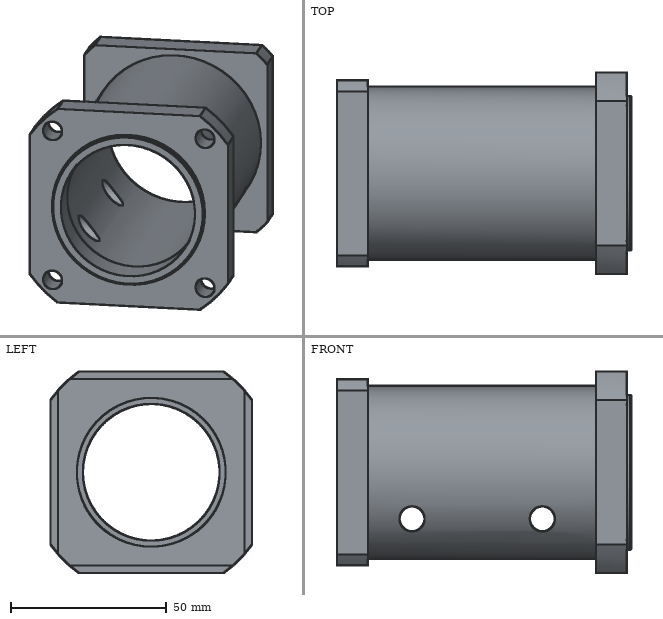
import cadquery as cq

total_length = 95.0
flange_thickness = 10.0
spigot_length = 1.5
large_flange_end = total_length - spigot_length
large_flange_start = large_flange_end - flange_thickness

small_flange_side = 60.0
large_flange_side = 65.0
flange_corner_diameter = 80.0

tube_diameter = 56.0
spigot_diameter = 50.0
spigot_chamfer = 0.5
bore_diameter = 48.0
lip_bore_diameter = 44.0
lip_start = large_flange_start

bolt_hole_diameter = 6.2
bolt_spacing = 50.0

cross_hole_diameter = 8.0
first_cross_hole_x = 24.2
cross_hole_spacing = 42.0
cross_hole_z = -15.0


def cylinder_x(diameter, start, end):
    """Cylinder on the X axis between two X positions."""
    return cq.Workplane("YZ", origin=(start, 0, 0)).circle(diameter / 2).extrude(end - start)


def flange(side, start):
    """Square plate with turned corners."""
    plate = cq.Workplane("YZ", origin=(start, 0, 0)).rect(side, side).extrude(flange_thickness)
    return plate.intersect(cylinder_x(flange_corner_diameter, start, start + flange_thickness))


def spigot():
    """Short locating ring with a chamfered rim, rooted in the large flange."""
    radius = spigot_diameter / 2
    return (
        cq.Workplane("XY")
        .moveTo(large_flange_start, 0)
        .lineTo(large_flange_start, radius)
        .lineTo(total_length - spigot_chamfer, radius)
        .lineTo(total_length, radius - spigot_chamfer)
        .lineTo(total_length, 0)
        .close()
        .revolve(360, (0, 0, 0), (1, 0, 0))
    )


def stepped_bore():
    """Main bore from the small flange, narrowing to a lip at the large flange."""
    main_bore = cylinder_x(bore_diameter, 0, lip_start)
    return main_bore.union(cylinder_x(lip_bore_diameter, 0, total_length))


def bolt_holes():
    """Four holes through the large flange."""
    return (
        cq.Workplane("YZ", origin=(large_flange_start, 0, 0))
        .rect(bolt_spacing, bolt_spacing, forConstruction=True)
        .vertices()
        .circle(bolt_hole_diameter / 2)
        .extrude(flange_thickness)
    )


def cross_holes():
    """Two holes parallel to Y, below the tube axis."""
    centres = [(first_cross_hole_x + i * cross_hole_spacing, cross_hole_z) for i in range(2)]
    return (
        cq.Workplane("XZ")
        .pushPoints(centres)
        .circle(cross_hole_diameter / 2)
        .extrude(tube_diameter / 2, both=True)
    )


body = (
    cylinder_x(tube_diameter, 0, large_flange_end)
    .union(flange(small_flange_side, 0))
    .union(flange(large_flange_side, large_flange_start))
    .union(spigot())
)
result = body.cut(stepped_bore()).cut(bolt_holes()).cut(cross_holes())